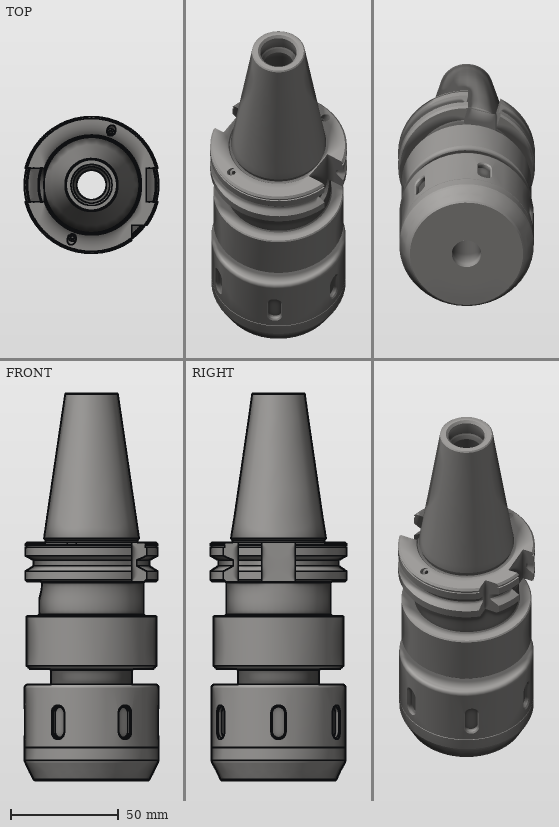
import cadquery as cq
import math

TOTAL_LENGTH = 180.2
NUT_TOP = 44.9
COLLAR_BOTTOM = 51.9
COLLAR_TOP = 76.8
FLANGE_BOTTOM = 92.6
FLANGE_TOP = 110.8
TAPER_BOTTOM = 112.6

TAPER_RATIO = 7 / 24
TAPER_LARGE_RADIUS = 22.2
TAPER_TIP_CHAMFER = 0.5
FLANGE_RADIUS = 63.6 / 2
FLANGE_CHAMFER = 0.9
SHANK_RADIUS = 24.3
CORNER_BEVEL = 0.5
COLLAR_RADIUS = 30.3
COLLAR_BOTTOM_CHAMFER = 1.6
COLLAR_TOP_CHAMFER = 0.5
NECK_RADIUS = 19.0
NUT_SEAT_RADIUS = 20.5

THROUGH_BORE_RADIUS = 6.8
TIP_BORE_RADIUS = 8.5
TIP_BORE_DEPTH = 8.0
TIP_BORE_CHAMFER = 1.0
TIP_BORE_FLOOR_BEVEL = 0.5
TIP_BORE_SEAT = 1.6

UNDERCUT_RADIUS = 21.5
RELIEF_OUTER_RADIUS = 23.2
RELIEF_DEPTH = 0.5

GROOVE_RADIUS = 28.1
GROOVE_FLOOR_BOTTOM = 99.5
GROOVE_FLOOR_TOP = 102.5
GROOVE_FLANK_ANGLE = 30.0
GROOVE_FLOOR_BEVEL = 0.5

RING_CUT_BOTTOM = 108.5
RING_CUT_TOP = 109.5
RING_CUT_DEPTH = 0.5

SLOT_WIDTH = 15.7
DEEP_SLOT_FLOOR = 22.0
SHALLOW_SLOT_FLOOR = 25.5
DEEP_SLOT_END = 84.7
NOTCH_OFFSET = 18.7
COOLANT_CIRCLE_RADIUS = 27.0
COOLANT_ANGLES = (70.0, 250.0)
COOLANT_TILT = 35.0
COOLANT_DIAMETER = 4.0
COOLANT_DEPTH = 1.8
COOLANT_FEED_DIAMETER = 1.8
COOLANT_FEED_DEPTH = 5.4

NUT_RADIUS = 62.5 / 2
NUT_TOP_FILLET = 1.8
NOSE_RADIUS = 26.3
NOSE_CHAMFER = 0.7
CONE_TOP = 8.3
CONE_TOP_RADIUS = 30.8
CONE_BLEND_TOP = 9.5
SEAM_HEIGHT = 15.5
SEAM_WIDTH = 0.4
SEAM_DEPTH = 0.4
POCKET_COUNT = 6
POCKET_HEIGHT_CENTER = 27.2
POCKET_LENGTH = 14.5
POCKET_WIDTH = 6.0
POCKET_DEPTH = 2.5
POCKET_CHAMFER = 0.7


def revolve_profile(points):
    """Revolve a closed (radius, height) outline about the Z axis."""
    return cq.Workplane("XZ").polyline(points).close().revolve(360, (0, 0, 0), (0, 1, 0))


def holder_blank():
    """Turned outside of the holder: nut seat, neck, collar, shank, grooved flange and taper."""
    flank_height = (FLANGE_RADIUS - GROOVE_RADIUS) * math.tan(math.radians(GROOVE_FLANK_ANGLE))
    tip_radius = TAPER_LARGE_RADIUS - (TOTAL_LENGTH - TAPER_BOTTOM) * TAPER_RATIO / 2
    return revolve_profile([
        (0, 0),
        (NUT_SEAT_RADIUS, 0),
        (NUT_SEAT_RADIUS, NUT_TOP),
        (NECK_RADIUS, NUT_TOP),
        (NECK_RADIUS, COLLAR_BOTTOM - CORNER_BEVEL),
        (NECK_RADIUS + CORNER_BEVEL, COLLAR_BOTTOM),
        (COLLAR_RADIUS - COLLAR_BOTTOM_CHAMFER, COLLAR_BOTTOM),
        (COLLAR_RADIUS, COLLAR_BOTTOM + COLLAR_BOTTOM_CHAMFER),
        (COLLAR_RADIUS, COLLAR_TOP - COLLAR_TOP_CHAMFER),
        (COLLAR_RADIUS - COLLAR_TOP_CHAMFER, COLLAR_TOP),
        (SHANK_RADIUS + CORNER_BEVEL, COLLAR_TOP),
        (SHANK_RADIUS, COLLAR_TOP + CORNER_BEVEL),
        (SHANK_RADIUS, FLANGE_BOTTOM - CORNER_BEVEL),
        (SHANK_RADIUS + CORNER_BEVEL, FLANGE_BOTTOM),
        (FLANGE_RADIUS - FLANGE_CHAMFER, FLANGE_BOTTOM),
        (FLANGE_RADIUS, FLANGE_BOTTOM + FLANGE_CHAMFER),
        (FLANGE_RADIUS, GROOVE_FLOOR_BOTTOM - flank_height),
        (GROOVE_RADIUS + GROOVE_FLOOR_BEVEL, GROOVE_FLOOR_BOTTOM),
        (GROOVE_RADIUS, GROOVE_FLOOR_BOTTOM + GROOVE_FLOOR_BEVEL),
        (GROOVE_RADIUS, GROOVE_FLOOR_TOP),
        (FLANGE_RADIUS, GROOVE_FLOOR_TOP + flank_height),
        (FLANGE_RADIUS, RING_CUT_BOTTOM),
        (FLANGE_RADIUS - RING_CUT_DEPTH, RING_CUT_BOTTOM),
        (FLANGE_RADIUS - RING_CUT_DEPTH, RING_CUT_TOP),
        (FLANGE_RADIUS, RING_CUT_TOP),
        (FLANGE_RADIUS, FLANGE_TOP - FLANGE_CHAMFER),
        (FLANGE_RADIUS - FLANGE_CHAMFER, FLANGE_TOP),
        (RELIEF_OUTER_RADIUS, FLANGE_TOP),
        (RELIEF_OUTER_RADIUS - RELIEF_DEPTH, FLANGE_TOP - RELIEF_DEPTH),
        (UNDERCUT_RADIUS, FLANGE_TOP - RELIEF_DEPTH),
        (UNDERCUT_RADIUS, TAPER_BOTTOM - (TAPER_LARGE_RADIUS - UNDERCUT_RADIUS)),
        (TAPER_LARGE_RADIUS, TAPER_BOTTOM),
        (tip_radius, TOTAL_LENGTH - TAPER_TIP_CHAMFER),
        (tip_radius - TAPER_TIP_CHAMFER, TOTAL_LENGTH),
        (0, TOTAL_LENGTH),
    ])


def bore_tool():
    """Through bore with a wider, chamfered mouth at the small end of the taper."""
    mouth_floor = TOTAL_LENGTH - TIP_BORE_DEPTH
    return revolve_profile([
        (0, 0),
        (THROUGH_BORE_RADIUS, 0),
        (THROUGH_BORE_RADIUS, mouth_floor - TIP_BORE_SEAT),
        (TIP_BORE_RADIUS - TIP_BORE_FLOOR_BEVEL, mouth_floor),
        (TIP_BORE_RADIUS, mouth_floor + TIP_BORE_FLOOR_BEVEL),
        (TIP_BORE_RADIUS, TOTAL_LENGTH - TIP_BORE_CHAMFER),
        (TIP_BORE_RADIUS + TIP_BORE_CHAMFER, TOTAL_LENGTH),
        (0, TOTAL_LENGTH),
    ])


def deep_slot_tool():
    """Drive slot on the -X side, running past the flange to a round end in the shank."""
    arc_center = DEEP_SLOT_END + SLOT_WIDTH / 2
    straight = FLANGE_TOP - arc_center
    outward = cq.Workplane("YZ", origin=(-DEEP_SLOT_FLOOR, 0, 0))
    channel = outward.center(0, arc_center + straight / 2).rect(SLOT_WIDTH, straight).extrude(-FLANGE_RADIUS)
    round_end = outward.center(0, arc_center).circle(SLOT_WIDTH / 2).extrude(-FLANGE_RADIUS)
    return channel.union(round_end)


def flange_box(corner_x, corner_y, size_x, size_y):
    """Cutter as tall as the flange, placed by its lowest X and Y corner."""
    height = FLANGE_TOP - FLANGE_BOTTOM
    return cq.Workplane("XY").box(size_x, size_y, height, centered=False).translate(
        (corner_x, corner_y, FLANGE_BOTTOM))


def shallow_slot_tool():
    """Drive slot on the +X side, through the flange only."""
    return flange_box(SHALLOW_SLOT_FLOOR, -SLOT_WIDTH / 2, FLANGE_RADIUS, SLOT_WIDTH)


def notch_tool():
    """Square notch through the flange at its +X, -Y corner."""
    return flange_box(NOTCH_OFFSET, -NOTCH_OFFSET - FLANGE_RADIUS, FLANGE_RADIUS, FLANGE_RADIUS)


def coolant_hole_tool(angle):
    """Blind stepped hole in the upper face of the flange, leaning inward as it goes down."""
    steps = ((COOLANT_DIAMETER, COOLANT_DEPTH), (COOLANT_FEED_DIAMETER, COOLANT_FEED_DEPTH))
    hole = cq.Workplane("XY")
    for diameter, depth in steps:
        floor = cq.Workplane("XY", origin=(0, 0, -depth))
        bore = floor.circle(diameter / 2).extrude(depth + COOLANT_DIAMETER)
        hole = hole.union(bore)
    tilted = hole.rotate((0, 0, 0), (0, 1, 0), COOLANT_TILT)
    return tilted.translate((COOLANT_CIRCLE_RADIUS, 0, FLANGE_TOP)).rotate((0, 0, 0), (0, 0, 1), angle)


def make_holder():
    """Taper-shank holder with its flange cuts and bore."""
    holder = holder_blank()
    for tool in (bore_tool(), deep_slot_tool(), shallow_slot_tool(), notch_tool()):
        holder = holder.cut(tool)
    for angle in COOLANT_ANGLES:
        holder = holder.cut(coolant_hole_tool(angle))
    return holder


def nut_blank():
    """Turned sleeve of the nut, fitting around the seat below the neck of the holder."""
    sleeve = revolve_profile([
        (NUT_SEAT_RADIUS, 0),
        (NOSE_RADIUS, 0),
        (NOSE_RADIUS + NOSE_CHAMFER, NOSE_CHAMFER),
        (CONE_TOP_RADIUS, CONE_TOP),
        (NUT_RADIUS, CONE_BLEND_TOP),
        (NUT_RADIUS, SEAM_HEIGHT - SEAM_WIDTH / 2),
        (NUT_RADIUS - SEAM_DEPTH, SEAM_HEIGHT),
        (NUT_RADIUS, SEAM_HEIGHT + SEAM_WIDTH / 2),
        (NUT_RADIUS, NUT_TOP),
        (NUT_SEAT_RADIUS, NUT_TOP),
    ])
    top_rim = cq.selectors.RadiusNthSelector(-1)
    return sleeve.faces(">Z").edges(top_rim).fillet(NUT_TOP_FILLET)


def wrench_pocket_tool(angle):
    """Upright rounded pocket with a flared rim, at the given angle around Z."""
    floor = cq.Workplane("YZ", origin=(NUT_RADIUS - POCKET_DEPTH, 0, POCKET_HEIGHT_CENTER))
    pocket = floor.slot2D(POCKET_LENGTH, POCKET_WIDTH, 90).extrude(2 * POCKET_DEPTH)
    flare = (
        cq.Workplane("YZ", origin=(NUT_RADIUS - POCKET_CHAMFER, 0, POCKET_HEIGHT_CENTER))
        .slot2D(POCKET_LENGTH, POCKET_WIDTH, 90)
        .extrude(2 * POCKET_CHAMFER, taper=-45)
    )
    return pocket.union(flare).rotate((0, 0, 0), (0, 0, 1), angle)


def make_nut():
    """Clamping nut with its ring of wrench pockets."""
    nut = nut_blank()
    for index in range(POCKET_COUNT):
        nut = nut.cut(wrench_pocket_tool(index * 360 / POCKET_COUNT))
    return nut


holder = make_holder()
nut = make_nut()

result = cq.Compound.makeCompound([holder.solids().val(), nut.solids().val()])